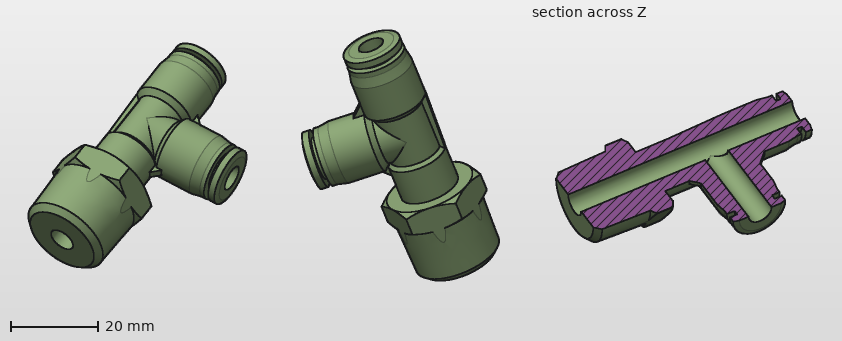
import cadquery as cq
import math


arm_length = 23.35
neck_radius = 6.1
body_radius = 7.5
body_start = 7.55
body_end = 16.45
nose_radius = 7.0
nose_start = 19.0
nose_end = 20.2
groove_radius = 5.0
collet_start = 21.3
collet_radius = 6.9
collet_bevel_length = 0.4
collet_face_radius = 5.5

stem_radius = 7.0
stem_start = -7.0

hex_top = -15.7
hex_height = 6.05
hex_across_flats = 21.0
hex_flat_radius = hex_across_flats / 2
hex_corner_radius = hex_flat_radius / math.cos(math.radians(30))
hex_chamfer_angle = 30.0
hex_bottom = hex_top - hex_height

thread_end = -35.75
thread_chamfer = 1.5
thread_slope = 1 / 32
flat_runout = -25.06

rib_thickness = 2.0
gusset_root = 6.0
upper_gusset_reach = 17.6
lower_gusset_reach = 16.4
bore_radius = 3.0


def revolve_about_y(points):
    """Turn a closed (radius, y) outline about the Y axis."""
    return cq.Workplane("XY").polyline(points).close().revolve(360, (0, 0, 0), (0, 1, 0))


def plate(points):
    """Flat rib of the given XY outline, centred on the XY plane."""
    return cq.Workplane("XY").polyline(points).close().extrude(rib_thickness / 2, both=True)


def cylinder_along_y(radius, start, end):
    """Round bar on the Y axis, running from start down to end."""
    return cq.Workplane("XZ", origin=(0, start, 0)).circle(radius).extrude(start - end)


def make_arm():
    """Push-in arm along +Y: neck, shoulder, tapered body, groove and collet."""
    shoulder_depth = body_radius - neck_radius
    return revolve_about_y([
        (0, 0),
        (neck_radius, 0),
        (neck_radius, body_start - shoulder_depth),
        (body_radius, body_start),
        (body_radius, body_end),
        (nose_radius, nose_start),
        (nose_radius, nose_end),
        (groove_radius, nose_end),
        (groove_radius, collet_start),
        (collet_radius, collet_start),
        (collet_radius, arm_length - collet_bevel_length),
        (collet_face_radius, arm_length),
        (0, arm_length),
    ])


def make_stem():
    """Neck continued below the branch, flaring at 45 degrees into the stem."""
    flare_depth = stem_radius - neck_radius
    return revolve_about_y([
        (0, 0),
        (neck_radius, 0),
        (neck_radius, stem_start + flare_depth),
        (stem_radius, stem_start),
        (stem_radius, hex_top),
        (0, hex_top),
    ])


def thread_radius(y):
    """Radius of the taper at y; it equals the hexagon flat radius at the flat runout."""
    return hex_flat_radius + (y - flat_runout) * thread_slope


def chamfer_drop(inner_radius):
    """Length along Y of the hexagon chamfer cone from inner_radius out to the corners."""
    return (hex_corner_radius - inner_radius) * math.tan(math.radians(hex_chamfer_angle))


def make_threaded_end():
    """Turned hexagon and thread blank, milled together by the six flats."""
    thread_top_radius = thread_radius(hex_bottom)
    chamfer_start = thread_end + thread_chamfer
    blank = revolve_about_y([
        (0, hex_top),
        (hex_flat_radius, hex_top),
        (hex_corner_radius, hex_top - chamfer_drop(hex_flat_radius)),
        (hex_corner_radius, hex_bottom + chamfer_drop(thread_top_radius)),
        (thread_top_radius, hex_bottom),
        (thread_radius(chamfer_start), chamfer_start),
        (thread_radius(chamfer_start) - thread_chamfer, thread_end),
        (0, thread_end),
    ])
    prism = cq.Workplane("XZ", origin=(0, hex_top, 0)).polygon(6, 2 * hex_corner_radius)
    return blank.intersect(prism.extrude(hex_top - thread_end))


def make_back_rib():
    """Rib opposite the branch, bridging the neck from body to stem."""
    return plate([
        (0, body_start),
        (-body_radius, body_start),
        (-stem_radius, stem_start),
        (0, stem_start),
    ])


def make_gusset(reach, side):
    """45 degree gusset between run and branch; side is +1 above, -1 below."""
    tip = reach - gusset_root
    return plate([
        (gusset_root, side * gusset_root),
        (tip, side * gusset_root),
        (gusset_root, side * tip),
    ])


def quarter_turn_to_branch(shape):
    """Swing a shape from the +Y axis onto the +X axis."""
    return shape.rotate((0, 0, 0), (0, 0, 1), -90)


run_arm = make_arm()
body = run_arm.union(quarter_turn_to_branch(run_arm)).union(make_stem())
body = body.union(make_threaded_end())
body = body.union(make_back_rib())
body = body.union(make_gusset(upper_gusset_reach, 1))
body = body.union(make_gusset(lower_gusset_reach, -1))

run_bore = cylinder_along_y(bore_radius, arm_length, thread_end)
branch_bore = quarter_turn_to_branch(cylinder_along_y(bore_radius, arm_length, 0))
result = body.cut(run_bore).cut(branch_bore)